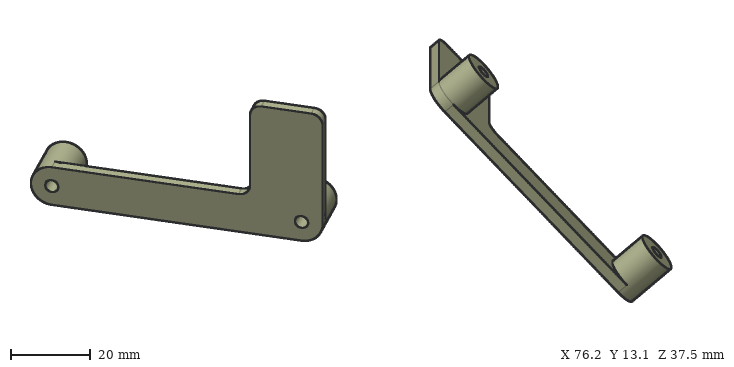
import cadquery as cq

length = 76.2
depth = 13.1
height = 37.5
plate_thickness = 3.0
boss_diameter = 11.0
hole_diameter = 3.4
upright_width = 19.0
corner_radius = 3.0

boss_radius = boss_diameter / 2
hole_spacing = length - boss_diameter
upright_left = length - boss_radius - upright_width
upright_right = hole_spacing + boss_radius
upright_top = height - boss_radius
hole_centers = [(0, 0), (hole_spacing, 0)]


def front_plane():
    """XZ sketch plane on the front face; positive extrusion runs toward -Y."""
    return cq.Workplane("XZ")


def make_plate():
    """L-shaped plate with a round left end and a rounded lower right corner."""
    plate = (
        front_plane()
        .moveTo(0, -boss_radius)
        .lineTo(hole_spacing, -boss_radius)
        .radiusArc((upright_right, 0), -boss_radius)
        .lineTo(upright_right, upright_top)
        .lineTo(upright_left, upright_top)
        .lineTo(upright_left, boss_radius)
        .lineTo(0, boss_radius)
        .threePointArc((-boss_radius, 0), (0, -boss_radius))
        .close()
        .extrude(-plate_thickness)
    )
    margin = 0.8
    upright_corners = cq.selectors.BoxSelector(
        (upright_left - margin, -margin, boss_radius - margin),
        (upright_right + margin, plate_thickness + margin, upright_top + margin),
    )
    return plate.edges("|Y").edges(upright_corners).fillet(corner_radius)


def make_cylinders(diameter):
    """Full-depth cylinders at both mounting positions."""
    return front_plane().pushPoints(hole_centers).circle(diameter / 2).extrude(-depth)


result = make_plate().union(make_cylinders(boss_diameter)).cut(make_cylinders(hole_diameter))